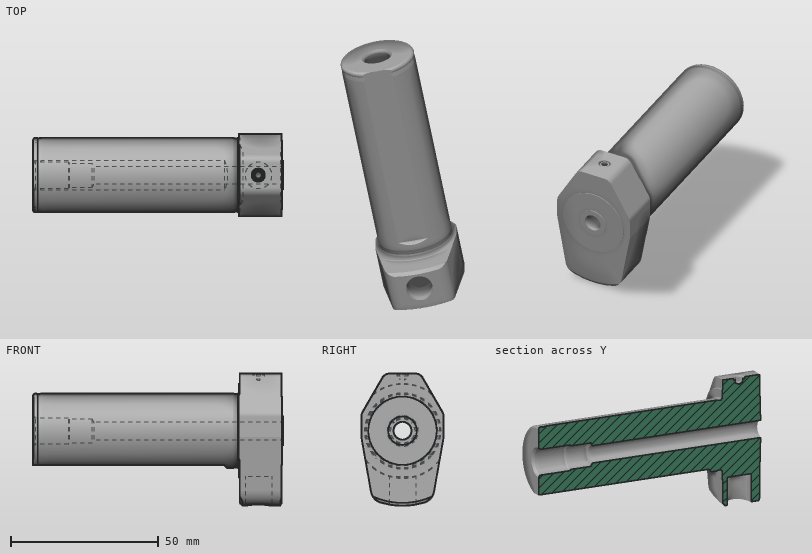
import cadquery as cq
import math

TOTAL_LENGTH = 85.0
SHAFT_LENGTH = 70.0
SHAFT_RADIUS = 25.4 / 2
RELIEF_RADIUS = 25.0 / 2

END_FACE_RADIUS = 11.9
END_CHAMFER_LENGTH = 0.25
END_CHAMFER_RADIUS = 12.35
END_CREST_X = 1.0
END_WAIST_X = 1.6
END_LEAD_STOP = 3.1

UNDERCUT_START = 67.9
UNDERCUT_TAPER = 0.85
UNDERCUT_ROOT_RADIUS = 12.95

FLAT_HEIGHT = -11.65
FLAT_END = 65.0

SHOULDER_RADIUS = 15.9
SHOULDER_HEIGHT = 0.25
OUTER_DISC_RADIUS = 23.2 / 2
INNER_DISC_RADIUS = 9.7 / 2
DISC_HEIGHT = 0.25
HEAD_START = SHAFT_LENGTH + SHOULDER_HEIGHT
HEAD_END = TOTAL_LENGTH - 2 * DISC_HEIGHT
HEAD_TOP = 19.5
HEAD_HALF_WIDTH = 14.0
HEAD_TOP_HALF_WIDTH = 6.0
UPPER_TAPER = math.radians(30)
LOWER_TAPER = math.radians(10)
LOWER_TAPER_TOP = -2.2
HEAD_BOTTOM_RADIUS = 25.5
HEAD_CORNER_RADIUS = 3.0
BOTTOM_CORNER_RADIUS = 5.0
BOTTOM_CHAMFER = 1.0
FAR_CHAMFER_LENGTH = 0.5

BORE_RADIUS = 6.0 / 2
PILOT_RADIUS = 8.2 / 2
THREAD_RADIUS = 9.0 / 2
THREAD_CREST_RADIUS = 9.6 / 2
THREAD_LEAD = 0.4
BORE_MOUTH_RADIUS = 10.5 / 2
THREAD_DEPTH = 12.0
PILOT_DEPTH = 20.0
DRILL_POINT_ANGLE = math.radians(118)

SCREW_X = 76.55
SCREW_HOLE_RADIUS = 4.0 / 2
SCREW_MOUTH_RADIUS = 4.5 / 2
SCREW_RECESS = 0.3
SCREW_FACE_RADIUS = 3.0 / 2
SOCKET_ACROSS_FLATS = 2.31
SOCKET_DEPTH = 1.5
SOCKET_TIP_DEPTH = 0.6
BOTTOM_HOLE_RADIUS = 9.0 / 2
BOTTOM_HOLE_DEPTH = 10.0


def revolve_about_x(points):
    """Solid of revolution about X from (x, radius) points."""
    return cq.Workplane("XY").polyline(points).close().revolve(360, (0, 0, 0), (1, 0, 0))


def make_shaft():
    profile = (
        cq.Workplane("XY")
        .lineTo(0, END_FACE_RADIUS)
        .lineTo(END_CHAMFER_LENGTH, END_CHAMFER_RADIUS)
        .threePointArc((END_CREST_X, SHAFT_RADIUS), (END_WAIST_X, RELIEF_RADIUS))
        .lineTo(END_LEAD_STOP, SHAFT_RADIUS)
        .lineTo(UNDERCUT_START, SHAFT_RADIUS)
        .lineTo(UNDERCUT_START + UNDERCUT_TAPER, RELIEF_RADIUS)
        .lineTo(SHAFT_LENGTH - (UNDERCUT_ROOT_RADIUS - RELIEF_RADIUS), RELIEF_RADIUS)
        .lineTo(SHAFT_LENGTH, UNDERCUT_ROOT_RADIUS)
        .lineTo(HEAD_END, UNDERCUT_ROOT_RADIUS)
        .lineTo(HEAD_END, 0)
        .close()
    )
    shaft = profile.revolve(360, (0, 0, 0), (1, 0, 0))
    cut_floor = -HEAD_BOTTOM_RADIUS
    cut_depth = FLAT_HEIGHT - cut_floor
    flat = (
        cq.Workplane("XZ")
        .moveTo(0, FLAT_HEIGHT)
        .lineTo(FLAT_END, FLAT_HEIGHT)
        .lineTo(FLAT_END + cut_depth, cut_floor)
        .lineTo(0, cut_floor)
        .close()
        .extrude(SHAFT_RADIUS, both=True)
    )
    return shaft.cut(flat)


def make_outline_block():
    """Head outline, seen along X, drawn out over the whole head including its raised faces."""
    slant_bottom = HEAD_TOP - (HEAD_HALF_WIDTH - HEAD_TOP_HALF_WIDTH) / math.tan(UPPER_TAPER)
    taper_drop = HEAD_BOTTOM_RADIUS + LOWER_TAPER_TOP
    bottom_half_width = HEAD_HALF_WIDTH - taper_drop * math.tan(LOWER_TAPER)
    half = [
        (HEAD_TOP_HALF_WIDTH, HEAD_TOP),
        (HEAD_HALF_WIDTH, slant_bottom),
        (HEAD_HALF_WIDTH, LOWER_TAPER_TOP),
        (bottom_half_width, -HEAD_BOTTOM_RADIUS),
    ]
    outline = half + [(-y, z) for y, z in reversed(half)]
    length = TOTAL_LENGTH - SHAFT_LENGTH
    start = cq.Workplane("YZ", origin=(SHAFT_LENGTH, 0, 0))
    block = start.polyline(outline).close().extrude(length)
    upper_corners = cq.selectors.BoxSelector(
        (SHAFT_LENGTH, -2 * HEAD_HALF_WIDTH, 0),
        (TOTAL_LENGTH, 2 * HEAD_HALF_WIDTH, 2 * HEAD_TOP),
    )
    block = block.edges("|X").edges(upper_corners).fillet(HEAD_CORNER_RADIUS)
    block = block.intersect(start.circle(HEAD_BOTTOM_RADIUS).extrude(length))
    return block.edges("|X").edges("<Z").fillet(BOTTOM_CORNER_RADIUS)


def make_head():
    chamfer_radius = HEAD_BOTTOM_RADIUS - BOTTOM_CHAMFER
    envelope = revolve_about_x([
        (HEAD_START, 0),
        (HEAD_START, chamfer_radius),
        (HEAD_START + BOTTOM_CHAMFER, HEAD_BOTTOM_RADIUS),
        (HEAD_END - FAR_CHAMFER_LENGTH, HEAD_BOTTOM_RADIUS),
        (HEAD_END, chamfer_radius),
        (HEAD_END, 0),
    ])
    return make_outline_block().intersect(envelope)


def make_raised_faces():
    shoulder = revolve_about_x([
        (SHAFT_LENGTH, 0),
        (SHAFT_LENGTH, SHOULDER_RADIUS),
        (HEAD_START, SHOULDER_RADIUS + SHOULDER_HEIGHT),
        (HEAD_START, 0),
    ])
    steps = [
        (HEAD_START, HEAD_END + DISC_HEIGHT, OUTER_DISC_RADIUS),
        (HEAD_START, TOTAL_LENGTH, INNER_DISC_RADIUS),
    ]
    faces = shoulder
    for start, stop, radius in steps:
        faces = faces.union(cq.Workplane("YZ", origin=(start, 0, 0)).circle(radius).extrude(stop - start))
    return faces.intersect(make_outline_block())


def make_bore():
    """Through bore that narrows in steps, each joined to the next by a cone."""
    drill_cone = (PILOT_RADIUS - BORE_RADIUS) / math.tan(DRILL_POINT_ANGLE / 2)
    lands = [
        (0, BORE_MOUTH_RADIUS),
        (BORE_MOUTH_RADIUS - THREAD_CREST_RADIUS, THREAD_CREST_RADIUS),
        (BORE_MOUTH_RADIUS - THREAD_CREST_RADIUS + THREAD_LEAD, THREAD_RADIUS),
        (THREAD_DEPTH, THREAD_RADIUS),
        (THREAD_DEPTH + THREAD_RADIUS - PILOT_RADIUS, PILOT_RADIUS),
        (PILOT_DEPTH, PILOT_RADIUS),
        (PILOT_DEPTH + drill_cone, BORE_RADIUS),
        (TOTAL_LENGTH, BORE_RADIUS),
    ]
    return revolve_about_x([(0, 0)] + lands + [(TOTAL_LENGTH, 0)])


def make_top_screw_recess():
    """Countersunk hole filled by a set screw with a chamfered end and a hexagon socket."""
    screw_face = HEAD_TOP - SCREW_RECESS
    screw_chamfer_foot = screw_face - (SCREW_HOLE_RADIUS - SCREW_FACE_RADIUS)
    mouth_foot = HEAD_TOP - (SCREW_MOUTH_RADIUS - SCREW_HOLE_RADIUS)
    around_screw = (
        cq.Workplane("XZ", origin=(SCREW_X, 0, 0))
        .polyline([
            (0, HEAD_TOP),
            (SCREW_MOUTH_RADIUS, HEAD_TOP),
            (SCREW_HOLE_RADIUS, mouth_foot),
            (SCREW_HOLE_RADIUS, screw_chamfer_foot),
            (SCREW_FACE_RADIUS, screw_face),
            (0, screw_face),
        ])
        .close()
        .revolve(360, (0, 0, 0), (0, 1, 0))
    )
    socket_corner_diameter = SOCKET_ACROSS_FLATS / math.cos(math.radians(30))
    socket_floor = screw_face - SOCKET_DEPTH
    socket = (
        cq.Workplane("XY", origin=(SCREW_X, 0, socket_floor))
        .polygon(6, socket_corner_diameter)
        .extrude(SOCKET_DEPTH)
    )
    tip = cq.Workplane(cq.Solid.makeCone(
        SOCKET_ACROSS_FLATS / 2,
        0,
        SOCKET_TIP_DEPTH,
        cq.Vector(SCREW_X, 0, socket_floor),
        cq.Vector(0, 0, -1),
    ))
    return around_screw.union(socket).union(tip)


def make_bottom_hole():
    start = cq.Workplane("XY", origin=(SCREW_X, 0, -HEAD_BOTTOM_RADIUS))
    return start.circle(BOTTOM_HOLE_RADIUS).extrude(BOTTOM_HOLE_DEPTH)


body = make_shaft().union(make_head()).union(make_raised_faces())
result = body.cut(make_bore()).cut(make_top_screw_recess()).cut(make_bottom_hole())